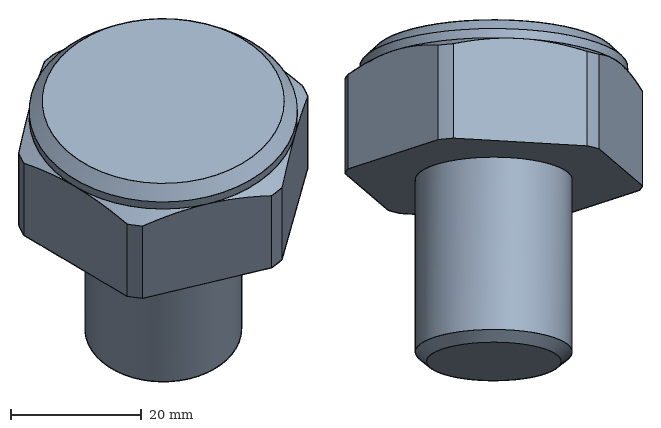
import cadquery as cq
import math

total_height = 49.0
across_flats = 41.0
across_corners = 46.0
head_height = 20.0

collar_height = 3.5
collar_chamfer = 2.0

bevel_angle = 30.0

shank_diameter = 24.0
tip_chamfer_height = 1.5
tip_chamfer_width = 1.7

flat_radius = across_flats / 2
corner_radius = across_corners / 2
shank_radius = shank_diameter / 2
head_bottom = total_height - head_height
hex_top = total_height - collar_height
bevel_height = (corner_radius - flat_radius) * math.tan(math.radians(bevel_angle))


def revolve_profile(points):
    """Revolve a closed outline of (radius, z) points about the Z axis."""
    return cq.Workplane("XZ").polyline(points).close().revolve(360, (0, 0), (0, 1))


def make_hexagon():
    """Hexagon with flats facing +/-X, rounded corners and a beveled top."""
    prism = (
        cq.Workplane("XY", origin=(0, 0, head_bottom))
        .polygon(6, across_flats / math.cos(math.radians(30)))
        .extrude(hex_top - head_bottom)
        .rotate((0, 0, 0), (0, 0, 1), 30)
    )
    envelope = revolve_profile([
        (0, head_bottom),
        (corner_radius, head_bottom),
        (corner_radius, hex_top - bevel_height),
        (flat_radius, hex_top),
        (0, hex_top),
    ])
    return prism.intersect(envelope)


def make_collar():
    """Round disc with a 45 degree chamfer on its top edge."""
    return revolve_profile([
        (0, hex_top),
        (flat_radius, hex_top),
        (flat_radius, total_height - collar_chamfer),
        (flat_radius - collar_chamfer, total_height),
        (0, total_height),
    ])


def make_shank():
    """Plain cylindrical shank with a chamfered lower end."""
    return revolve_profile([
        (0, 0),
        (shank_radius - tip_chamfer_width, 0),
        (shank_radius, tip_chamfer_height),
        (shank_radius, head_bottom),
        (0, head_bottom),
    ])


result = make_hexagon().union(make_collar()).union(make_shank())